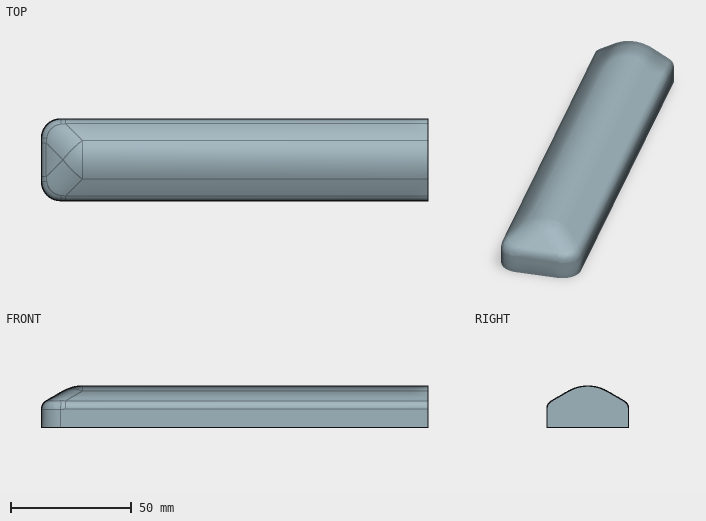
import cadquery as cq
import math

length = 160.0
width = 34.0
height = 17.3

roof_slope = 30.0
ridge_radius = 16.0
corner_radius = 8.0
eave_radius = 4.0

half_width = width / 2
slope_angle = math.radians(roof_slope)
sharp_ridge_height = height + ridge_radius * (1 / math.cos(slope_angle) - 1)
sharp_eave_height = sharp_ridge_height - half_width * math.tan(slope_angle)


def gabled_bar():
    """Bar along X with a sharp ridge; the hipped end is at X = 0."""
    return (
        cq.Workplane("YZ")
        .moveTo(-half_width, 0)
        .lineTo(half_width, 0)
        .lineTo(half_width, sharp_eave_height)
        .lineTo(0, sharp_ridge_height)
        .lineTo(-half_width, sharp_eave_height)
        .close()
        .extrude(length)
    )


def hip_envelope():
    """Sloping end face that turns the gable at X = 0 into a hip."""
    return (
        cq.Workplane("XZ")
        .moveTo(0, 0)
        .lineTo(length, 0)
        .lineTo(length, sharp_ridge_height)
        .lineTo(half_width, sharp_ridge_height)
        .lineTo(0, sharp_eave_height)
        .close()
        .extrude(half_width, both=True)
    )


def round_roof(body):
    """Round the ridge and both hips, which meet in one spherical patch."""
    hip_peak = cq.Vector(half_width, 0, sharp_ridge_height)
    tolerance = 0.002
    roof_edges = [
        edge for edge in body.edges().vals()
        if any((vertex.Center() - hip_peak).Length < tolerance for vertex in edge.Vertices())
    ]
    return body.newObject(roof_edges).fillet(ridge_radius)


def round_corners(body):
    """Round the two vertical corners of the hipped end."""
    return body.faces("<X").edges("|Z").fillet(corner_radius)


def round_eaves(body):
    """Round the eave along both sides and around the hipped end."""
    end_wall_top = body.faces("<X").edges(">Z")
    return end_wall_top.fillet(eave_radius)


hipped_bar = gabled_bar().intersect(hip_envelope())
result = round_eaves(round_corners(round_roof(hipped_bar)))